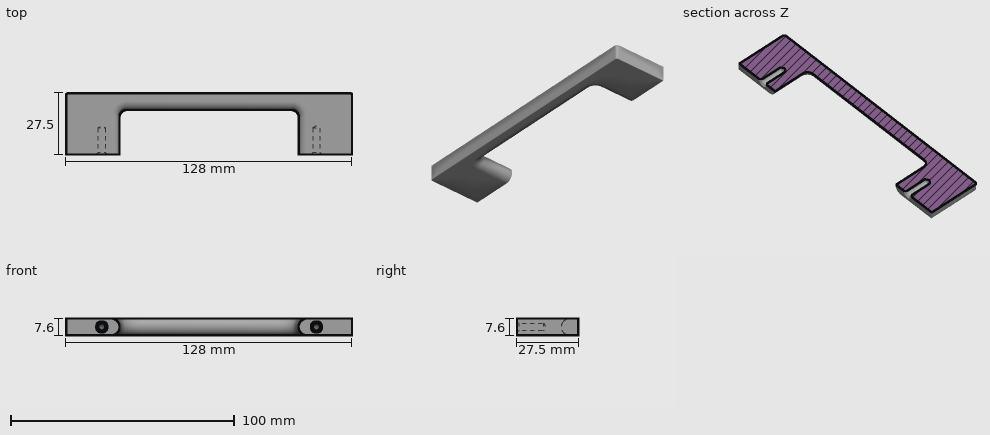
import cadquery as cq
import math

length = 128.0
depth = 27.5
thickness = 7.6
leg_width = 24.0
bar_width = 7.6
inner_corner_radius = 3.0
outer_corner_radius = 1.0
edge_radius = 0.2
screw_spacing = 96.0
hole_diameter = 3.24
hole_depth = 12.0
drill_point_angle = 118.0
countersink_diameter = 5.0
countersink_angle = 90.0

opening_width = length - 2 * leg_width
opening_depth = depth - bar_width
round_radius = thickness / 2


def make_body():
    """Rectangular block with rounded back corners and softened outer edges."""
    block = cq.Workplane("XY").box(length, depth, thickness, centered=(True, False, True))
    rounded = block.edges("|Z and >Y").fillet(outer_corner_radius)
    return rounded.faces("|Z").edges("not <Y").fillet(edge_radius)


def make_round_edge():
    """Half-round strip that follows the two legs and the bar around the opening."""
    half_opening = opening_width / 2
    straight_end = opening_depth - inner_corner_radius
    corner_start = half_opening - inner_corner_radius
    diagonal = inner_corner_radius * math.sqrt(0.5)
    path = (
        cq.Workplane("XY")
        .moveTo(-half_opening, 0)
        .lineTo(-half_opening, straight_end)
        .threePointArc(
            (-corner_start - diagonal, straight_end + diagonal), (-corner_start, opening_depth)
        )
        .lineTo(corner_start, opening_depth)
        .threePointArc(
            (corner_start + diagonal, straight_end + diagonal), (half_opening, straight_end)
        )
        .lineTo(half_opening, 0)
    )
    flat_side = -half_opening - round_radius
    half_disc = (
        cq.Workplane("XZ")
        .moveTo(flat_side, -round_radius)
        .threePointArc((-half_opening, 0), (flat_side, round_radius))
        .close()
    )
    return half_disc.sweep(path)


def make_flat_body():
    """Block with room cut out for the opening and the half-round strip."""
    strip_outer_width = opening_width + 2 * round_radius
    strip_outer_depth = opening_depth + round_radius
    clearance = cq.Workplane("XY").box(
        strip_outer_width, strip_outer_depth, thickness, centered=(True, False, True)
    )
    clearance = clearance.edges("|Z and >Y").fillet(inner_corner_radius + round_radius)
    return make_body().cut(clearance)


def make_screw_hole(x):
    """Blind countersunk hole with a drill point, entering the foot at Y = 0."""
    hole_radius = hole_diameter / 2
    countersink_radius = countersink_diameter / 2
    countersink_depth = (countersink_radius - hole_radius) / math.tan(math.radians(countersink_angle / 2))
    point_depth = hole_radius / math.tan(math.radians(drill_point_angle / 2))
    half_profile = (
        cq.Workplane("XY")
        .moveTo(x, 0)
        .lineTo(x + countersink_radius, 0)
        .lineTo(x + hole_radius, countersink_depth)
        .lineTo(x + hole_radius, hole_depth)
        .lineTo(x, hole_depth + point_depth)
        .close()
    )
    return half_profile.revolve(360, (x, 0, 0), (x, 1, 0))


result = make_flat_body().union(make_round_edge())
for side in (-1, 1):
    result = result.cut(make_screw_hole(side * screw_spacing / 2))